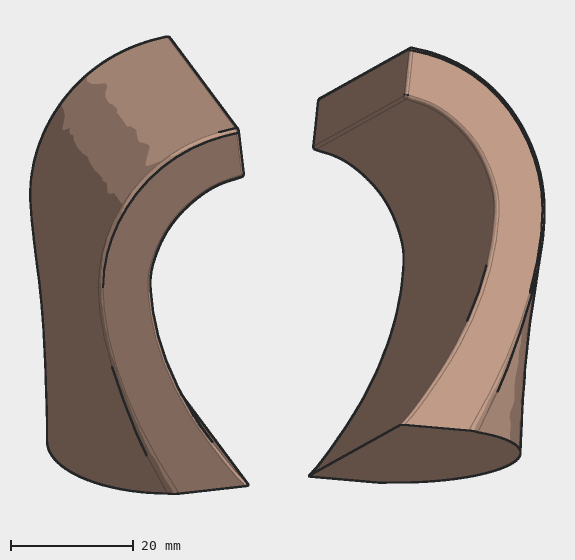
import cadquery as cq
import math

width = 41.2
half_width = width / 2
height = 63.35
foot_depth = 27.4
foot_crown = 15.5
edge_radius = 0.65
front_half_width = half_width - edge_radius
corner_share = 0.12
corner_fullness = 0.65
tip_radius = 0.5
bulge_width = 20.6
front_steps = 8

waist_height = 38.1
waist_front = (1.0, waist_height)
waist_back = (10.8, waist_height)
hook_front = (5.25, 51.4)
hook_back = (14.3, 47.45)
tip_front = (25.7, height)
tip_back = (26.65, 54.7)
waist_crown = 1.6
crown_power = 1.7
back_power = 1.9
steps_per_half = 6


def bulge_drop(x):
    """Fraction of the bulge lost at x: 0 in the middle and 1 at the sides."""
    def ellipse_drop(offset):
        return 1 - math.sqrt(1 - (offset / bulge_width) ** 2)
    return ellipse_drop(x) / ellipse_drop(front_half_width)


def section_wire(front, back, crown):
    """Straight back and sides, closed by a bulged front, in one tilted plane."""
    run = back[0] - front[0]
    rise = back[1] - front[1]
    length = math.hypot(run, rise)

    def point(x, inset):
        return cq.Vector(x, front[0] + run * inset / length, front[1] + rise * inset / length)

    corner_depth = max(edge_radius, corner_share * crown)
    front_crown = max(crown - corner_depth, 0)

    front_points = []
    for step in range(front_steps + 1):
        x = -front_half_width * math.cos(math.pi * step / front_steps)
        front_points.append(point(x, front_crown * bulge_drop(x)))

    def front_corner(side):
        """Rounded corner from the side face (first) to the front (last)."""
        start = point(side * half_width, front_crown + corner_depth)
        middle = point(
            side * (front_half_width + corner_fullness * edge_radius),
            front_crown + (1 - corner_fullness) * corner_depth,
        )
        end = point(side * front_half_width, front_crown)
        return start, middle, end

    def back_corner(side):
        """Quarter-round corner from the side face (first) to the back (last)."""
        diagonal = edge_radius * (1 - math.sqrt(0.5))
        start = point(side * half_width, length - edge_radius)
        middle = point(side * (half_width - diagonal), length - diagonal)
        end = point(side * front_half_width, length)
        return start, middle, end

    left_front, right_front = front_corner(-1), front_corner(1)
    left_back, right_back = back_corner(-1), back_corner(1)
    return cq.Wire.assembleEdges([
        cq.Edge.makeSpline(front_points),
        cq.Edge.makeThreePointArc(*reversed(right_front)),
        cq.Edge.makeLine(right_front[0], right_back[0]),
        cq.Edge.makeThreePointArc(*right_back),
        cq.Edge.makeLine(right_back[-1], left_back[-1]),
        cq.Edge.makeThreePointArc(*reversed(left_back)),
        cq.Edge.makeLine(left_back[0], left_front[0]),
        cq.Edge.makeThreePointArc(*left_front),
    ])


def foot_section(step):
    """Level section; the bulge and the back spread as powers of the drop below the waist."""
    rise = step / steps_per_half
    drop = 1 - rise
    z = waist_height * rise
    front = (waist_front[0] * rise, z)
    back = (waist_back[0] + (foot_depth - waist_back[0]) * drop ** back_power, z)
    crown = waist_crown + (foot_crown - waist_crown) * drop ** crown_power
    return section_wire(front, back, crown)


def arc_point(start, middle, end, fraction):
    """Point (Y, Z) at a fraction of the arc through three points."""
    arc = cq.Edge.makeThreePointArc(cq.Vector(*start), cq.Vector(*middle), cq.Vector(*end))
    position = arc.positionAt(fraction)
    return position.x, position.y


def hook_section(step):
    """Tilted section spanning the inner and outer arcs of the hook."""
    fraction = step / steps_per_half
    front = arc_point(waist_front, hook_front, tip_front, fraction)
    back = arc_point(waist_back, hook_back, tip_back, fraction)
    return section_wire(front, back, waist_crown * (1 - fraction))


sections = [foot_section(step) for step in range(steps_per_half)]
sections += [hook_section(step) for step in range(steps_per_half + 1)]
body = cq.Workplane(cq.Solid.makeLoft(sections))

tip_center = (0, (tip_front[0] + tip_back[0]) / 2, (tip_front[1] + tip_back[1]) / 2)
tip_face = body.faces(cq.selectors.NearestToPointSelector(tip_center))
result = tip_face.edges().fillet(tip_radius)